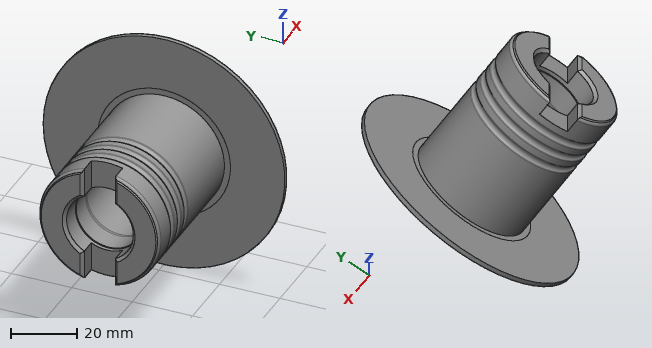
import cadquery as cq
import math

TOTAL_LENGTH = 50.0
DISC_RADIUS = 40.0
DISC_THICKNESS = 1.5
DISC_FACE_X = TOTAL_LENGTH - DISC_THICKNESS

BARREL_RADIUS = 20.0
FLANGE_RADIUS = 22.0
NOSE_FACE_RADIUS = 19.0
NOSE_BEVEL_RADIUS = 19.3
NOSE_BEVEL_LENGTH = 0.5
NOSE_ROUND_RADIUS = 1.0

GROOVE_COUNT = 3
GROOVE_PITCH = 5.0
FIRST_GROOVE_X = 9.9
GROOVE_DEPTH = 0.8
GROOVE_WIDTH = 2.6
GROOVE_EDGE_ROUND = 0.2

EDGE_CHAMFER = 1.0
BORE_RADIUS = 11.0
LAND_STEP = 0.2
LAND_RADIUS = BORE_RADIUS - LAND_STEP
LAND_START_X = 7.5
LAND_END_X = 14.9
LAND_TAPER_LENGTH = 1.2
BORE_DEPTH = 40.0
HOLE_RADIUS = 5.5

SLOT_WIDTH = 10.3
SLOT_DEPTH = 6.2


def revolve_about_x(profile):
    """Turn a closed profile, drawn as (x, radius), around the X axis."""
    return profile.close().revolve(360, (0, 0, 0), (1, 0, 0))


def hub_blank():
    """Solid barrel with its nose and flange, before any cuts."""
    drop = BARREL_RADIUS - NOSE_BEVEL_RADIUS
    sweep = math.acos(1 - drop / NOSE_ROUND_RADIUS)
    round_end_x = NOSE_BEVEL_LENGTH + NOSE_ROUND_RADIUS * math.sin(sweep)
    round_center_radius = BARREL_RADIUS - NOSE_ROUND_RADIUS
    round_middle = (
        round_end_x - NOSE_ROUND_RADIUS * math.sin(sweep / 2),
        round_center_radius + NOSE_ROUND_RADIUS * math.cos(sweep / 2),
    )
    profile = (
        cq.Workplane("XY")
        .lineTo(0, NOSE_FACE_RADIUS)
        .lineTo(NOSE_BEVEL_LENGTH, NOSE_BEVEL_RADIUS)
        .threePointArc(round_middle, (round_end_x, BARREL_RADIUS))
        .lineTo(DISC_FACE_X, BARREL_RADIUS)
        .lineTo(DISC_FACE_X, FLANGE_RADIUS)
        .lineTo(TOTAL_LENGTH, FLANGE_RADIUS)
        .lineTo(TOTAL_LENGTH, 0)
    )
    return revolve_about_x(profile)


def cut_groove(hub, center_x):
    """Cut one arc-bottomed groove around the barrel and round its two rims."""
    half_width = GROOVE_WIDTH / 2
    profile = (
        cq.Workplane("XY")
        .moveTo(center_x - half_width, BARREL_RADIUS)
        .threePointArc(
            (center_x, BARREL_RADIUS - GROOVE_DEPTH),
            (center_x + half_width, BARREL_RADIUS),
        )
        .lineTo(center_x + half_width, FLANGE_RADIUS)
        .lineTo(center_x - half_width, FLANGE_RADIUS)
    )
    grooved = hub.cut(revolve_about_x(profile))
    rims = cq.selectors.BoxSelector(
        (center_x - GROOVE_WIDTH, -FLANGE_RADIUS, -FLANGE_RADIUS),
        (center_x + GROOVE_WIDTH, FLANGE_RADIUS, FLANGE_RADIUS),
    )
    return grooved.edges(rims).edges("%CIRCLE").fillet(GROOVE_EDGE_ROUND)


def bore():
    """Stepped bore: chamfered mouth, slightly narrower land, floor and through hole."""
    profile = (
        cq.Workplane("XY")
        .lineTo(0, BORE_RADIUS + EDGE_CHAMFER)
        .lineTo(EDGE_CHAMFER, BORE_RADIUS)
        .lineTo(LAND_START_X, BORE_RADIUS)
        .lineTo(LAND_START_X + LAND_STEP, LAND_RADIUS)
        .lineTo(LAND_END_X, LAND_RADIUS)
        .lineTo(LAND_END_X + LAND_TAPER_LENGTH, BORE_RADIUS)
        .lineTo(BORE_DEPTH, BORE_RADIUS)
        .lineTo(BORE_DEPTH, HOLE_RADIUS + EDGE_CHAMFER)
        .lineTo(BORE_DEPTH + EDGE_CHAMFER, HOLE_RADIUS)
        .lineTo(TOTAL_LENGTH, HOLE_RADIUS)
        .lineTo(TOTAL_LENGTH, 0)
    )
    return revolve_about_x(profile)


def slot():
    """Slot through the nose along Z, with chamfered mouth edges."""
    half_width = SLOT_WIDTH / 2
    return (
        cq.Workplane("XY")
        .moveTo(0, half_width + EDGE_CHAMFER)
        .lineTo(EDGE_CHAMFER, half_width)
        .lineTo(SLOT_DEPTH, half_width)
        .lineTo(SLOT_DEPTH, -half_width)
        .lineTo(EDGE_CHAMFER, -half_width)
        .lineTo(0, -half_width - EDGE_CHAMFER)
        .close()
        .extrude(BARREL_RADIUS, both=True)
    )


def make_hub():
    hub = hub_blank()
    for index in range(GROOVE_COUNT):
        hub = cut_groove(hub, FIRST_GROOVE_X + index * GROOVE_PITCH)
    return hub.cut(bore()).cut(slot())


def make_disc():
    """Flat ring that fits around the hub flange."""
    return (
        cq.Workplane("YZ", origin=(DISC_FACE_X, 0, 0))
        .circle(DISC_RADIUS)
        .circle(FLANGE_RADIUS)
        .extrude(DISC_THICKNESS)
    )


hub = make_hub()
disc = make_disc()
result = cq.Compound.makeCompound([hub.val(), disc.val()])